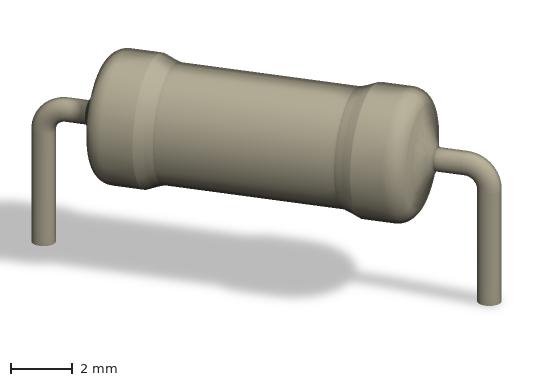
import cadquery as cq
import math

overall_length = 16.04
overall_height = 7.05
lead_diameter = 0.8
bend_radius = 0.8

body_offset = -0.13
barrel_radius = 2.02
cap_diameter = 4.5
barrel_half_length = 3.1
shoulder_break = 3.38
shoulder_break_radius = 2.12
cap_inner_end = 3.72
cap_outer_end = 4.83
rim_position = 5.47
rim_radius = 1.68
face_root_position = 5.55
face_root_radius = 1.38
nose_tip = 5.95
nose_tip_slope = 1.8

cap_radius = cap_diameter / 2
lead_radius = lead_diameter / 2
lead_drop = overall_height - cap_radius
lead_half_span = overall_length / 2 - lead_radius


def make_lead():
    """Sweep the round wire along its two-bend centreline."""
    bend_start = lead_half_span - bend_radius
    diagonal = bend_radius * math.sin(math.radians(45))
    bend_mid_x = bend_start + diagonal
    bend_mid_z = diagonal - bend_radius
    path = (
        cq.Workplane("XZ")
        .moveTo(-lead_half_span, -lead_drop)
        .lineTo(-lead_half_span, -bend_radius)
        .threePointArc((-bend_mid_x, bend_mid_z), (-bend_start, 0))
        .lineTo(bend_start, 0)
        .threePointArc((bend_mid_x, bend_mid_z), (lead_half_span, -bend_radius))
        .lineTo(lead_half_span, -lead_drop)
    )
    tip = cq.Workplane("XY", origin=(-lead_half_span, 0, -lead_drop))
    return tip.circle(lead_radius).sweep(path)


def make_barrel():
    """Build the straight cylinder between the two end caps."""
    start = cq.Workplane("YZ", origin=(-barrel_half_length, 0, 0))
    return start.circle(barrel_radius).extrude(2 * barrel_half_length)


def make_end_cap():
    """Revolve the shoulder, rounded cap and flared nose at the +X end of the barrel."""
    face_tangent = (face_root_position - rim_position, face_root_radius - rim_radius)
    nose_tip_tangent = (1, -nose_tip_slope)
    profile = (
        cq.Workplane("XY")
        .moveTo(barrel_half_length, 0)
        .lineTo(barrel_half_length, barrel_radius)
        .lineTo(shoulder_break, shoulder_break_radius)
        .lineTo(cap_inner_end, cap_radius)
        .lineTo(cap_outer_end, cap_radius)
        .tangentArcPoint((rim_position, rim_radius), relative=False)
        .lineTo(face_root_position, face_root_radius)
        .spline(
            [(nose_tip, lead_radius)],
            tangents=[face_tangent, nose_tip_tangent],
            includeCurrent=True,
        )
        .lineTo(nose_tip, 0)
        .close()
    )
    return profile.revolve(360, (0, 0, 0), (1, 0, 0))


end_cap = make_end_cap()
body = make_barrel().union(end_cap).union(end_cap.mirror("YZ"))
body = body.translate((body_offset, 0, 0))
result = body.union(make_lead())